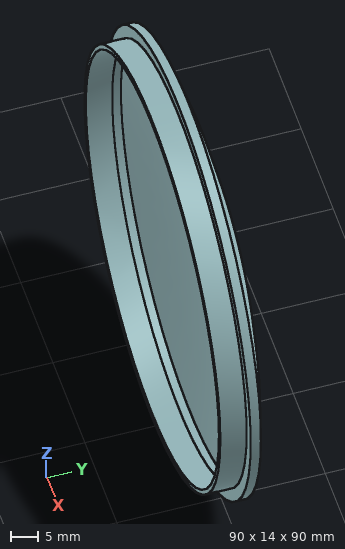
import cadquery as cq
import math

cap_radius = 45.0
ring_outer_radius = 85.0 / 2
ring_inner_radius = 83.0 / 2
ring_depth = 5.0
flange_thickness = 2.0
dome_height = 7.0
bore_radius = ring_outer_radius

flange_front = ring_depth
flange_back = flange_front + flange_thickness
dome_apex = flange_back + dome_height

dome_radius = (cap_radius**2 + dome_height**2) / (2 * dome_height)
dome_centre = dome_apex - dome_radius
hollow_radius = math.hypot(bore_radius, flange_back - dome_centre)
hollow_apex = dome_centre + hollow_radius


def point_on_sphere(sphere_radius, distance_from_axis):
    """Profile point on a sphere about the dome centre."""
    height = math.sqrt(sphere_radius**2 - distance_from_axis**2)
    return (distance_from_axis, dome_centre + height)


def turn_about_y(profile):
    """Revolve a closed half-profile drawn in the XY plane."""
    return profile.close().revolve(360, (0, 0, 0), (0, 1, 0))


def make_domed_cap():
    """Hollow spherical cap with a flat-faced, straight-bored flange around its edge."""
    profile = (
        cq.Workplane("XY")
        .moveTo(0, hollow_apex)
        .threePointArc(
            point_on_sphere(hollow_radius, bore_radius / 2),
            (bore_radius, flange_back),
        )
        .lineTo(bore_radius, flange_front)
        .lineTo(cap_radius, flange_front)
        .lineTo(cap_radius, flange_back)
        .threePointArc(point_on_sphere(dome_radius, cap_radius / 2), (0, dome_apex))
    )
    return turn_about_y(profile)


def make_locating_ring():
    """Thin plain ring whose outer back edge meets the front edge of the flange bore."""
    profile = (
        cq.Workplane("XY")
        .moveTo(ring_inner_radius, 0)
        .lineTo(ring_outer_radius, 0)
        .lineTo(ring_outer_radius, flange_front)
        .lineTo(ring_inner_radius, flange_front)
    )
    return turn_about_y(profile)


domed_cap = make_domed_cap()
locating_ring = make_locating_ring()

result = cq.Compound.makeCompound([domed_cap.val(), locating_ring.val()])